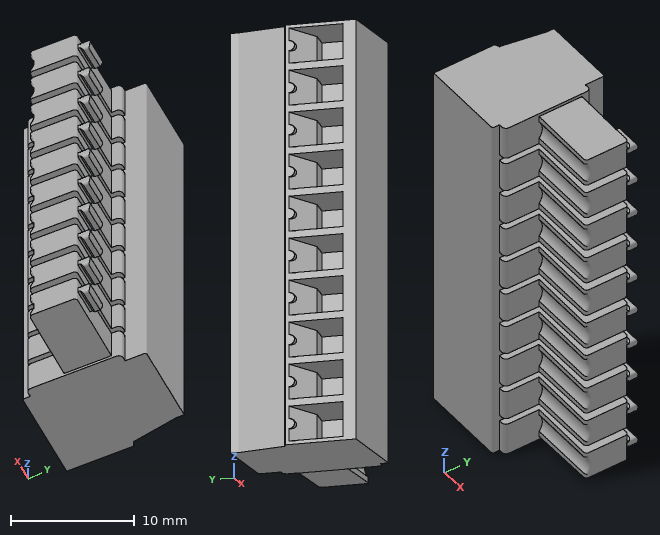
import cadquery as cq
import math

HEIGHT = 35.0
POLE_COUNT = 10
PITCH = HEIGHT / POLE_COUNT

BODY_LENGTH = 8.25
BODY_WIDTH = 11.1
BODY_EDGE_RADIUS = 0.2
LIP_X = 1.15
LIP_BOTTOM_Y = 10.4
SLOPE_END_X = 0.42
SLOPE_END_Y = 6.23
NOSE_Y = 6.02

FLANGE_END_X = 9.0
FLANGE_BOTTOM_Y = 0.7
FLANGE_TOP_Y = 9.2
FLANGE_EDGE_RADIUS = 0.42
GAP_HEIGHT = 0.6

PLUG_END_X = 15.5
PLUG_BOTTOM_Y = 4.1
PLUG_TOP_Y = 8.33
PLUG_ROOT_HEIGHT = PITCH - GAP_HEIGHT
PLUG_TIP_HEIGHT = 2.7
PLUG_TIP_RADIUS = 0.3
GROOVE_DIAMETER = 2.8
GROOVE_DEPTH = 0.3

KEY_START_X = 12.95
KEY_END_X = 15.25
KEY_SHOULDER_Y = 8.55
KEY_WIDEST_Y = 8.75
KEY_TOP_Y = 9.45
KEY_NECK_HEIGHT = 0.5
KEY_HEIGHT = 0.95
KEY_CROWN_DIAMETER = 1.2
KEY_TIP_RADIUS = 0.3

FUNNEL_BOTTOM_Y = 1.12
FUNNEL_TOP_Y = 5.7
FUNNEL_MOUTH_HEIGHT = 2.9
FUNNEL_RAMP_DEPTH = 1.95
FUNNEL_DEPTH = 3.22
FUNNEL_FLOOR_BOTTOM_Y = 1.35
FUNNEL_FLOOR_TOP_Y = 4.0
FUNNEL_FLOOR_HEIGHT = 1.7
STUD_DIAMETER = 0.85
STUD_Y = 5.67


def box(x_range, y_range, z_range):
    """Axis-aligned block from (low, high) pairs."""
    sizes = [high - low for low, high in (x_range, y_range, z_range)]
    corner = (x_range[0], y_range[0], z_range[0])
    return cq.Workplane("XY").box(*sizes, centered=False).translate(corner)


def prism_along_y(points, y_range):
    """Extrude an (X, Z) outline between two Y positions."""
    outline = cq.Workplane("XZ", origin=(0, y_range[0], 0)).polyline(points).close()
    return outline.extrude(y_range[0] - y_range[1])


def make_body():
    outline = [
        (0, 0),
        (BODY_LENGTH, 0),
        (BODY_LENGTH, BODY_WIDTH),
        (LIP_X, BODY_WIDTH),
        (LIP_X, LIP_BOTTOM_Y),
        (SLOPE_END_X, SLOPE_END_Y),
        (0, NOSE_Y),
    ]
    body = cq.Workplane("XY").polyline(outline).close().extrude(HEIGHT)
    return body.edges("|Z and >X").fillet(BODY_EDGE_RADIUS)


def make_flange():
    flange = box((BODY_LENGTH, FLANGE_END_X), (FLANGE_BOTTOM_Y, FLANGE_TOP_Y), (0, HEIGHT))
    flange = flange.edges("|Z and >X").fillet(FLANGE_EDGE_RADIUS)
    for boundary in range(1, POLE_COUNT):
        z = boundary * PITCH
        z_range = (z - GAP_HEIGHT / 2, z + GAP_HEIGHT / 2)
        flange = flange.cut(box((BODY_LENGTH, FLANGE_END_X), (FLANGE_BOTTOM_Y, FLANGE_TOP_Y), z_range))
    return flange


def make_key():
    """Necked rail with a domed +Y side and a rounded tip, symmetric about Z = 0."""
    neck = KEY_NECK_HEIGHT / 2
    head = KEY_HEIGHT / 2
    crown_radius = KEY_CROWN_DIAMETER / 2
    crown_start_y = KEY_TOP_Y - crown_radius + math.sqrt(crown_radius**2 - head**2)
    key = (
        cq.Workplane("YZ", origin=(KEY_START_X, 0, 0))
        .moveTo(PLUG_TOP_Y, neck)
        .lineTo(KEY_SHOULDER_Y, neck)
        .lineTo(KEY_WIDEST_Y, head)
        .lineTo(crown_start_y, head)
        .threePointArc((KEY_TOP_Y, 0), (crown_start_y, -head))
        .lineTo(KEY_WIDEST_Y, -head)
        .lineTo(KEY_SHOULDER_Y, -neck)
        .lineTo(PLUG_TOP_Y, -neck)
        .close()
        .extrude(KEY_END_X - KEY_START_X)
    )
    envelope = box((KEY_START_X, KEY_END_X), (PLUG_TOP_Y, KEY_TOP_Y), (-head, head))
    return key.intersect(envelope.edges("|Y and >X").fillet(KEY_TIP_RADIUS))


def make_plug():
    """Tapered plug with a rounded tip, a concave groove below and a key above."""
    outline = [
        (FLANGE_END_X, PLUG_ROOT_HEIGHT / 2),
        (PLUG_END_X, PLUG_TIP_HEIGHT / 2),
        (PLUG_END_X, -PLUG_TIP_HEIGHT / 2),
        (FLANGE_END_X, -PLUG_ROOT_HEIGHT / 2),
    ]
    plug = prism_along_y(outline, (PLUG_BOTTOM_Y, PLUG_TOP_Y))
    groove_y = PLUG_BOTTOM_Y + GROOVE_DEPTH - GROOVE_DIAMETER / 2
    groove = cq.Workplane("YZ", origin=(FLANGE_END_X, groove_y, 0)).circle(GROOVE_DIAMETER / 2)
    plug = plug.cut(groove.extrude(PLUG_END_X - FLANGE_END_X))
    tip_edges = plug.faces(">X").edges("not(>Z or <Z)")
    plug = tip_edges.fillet(PLUG_TIP_RADIUS)
    return plug.union(make_key())


def make_funnel():
    """Cutter for one wire entry: ramped towards +Y and tapered in height."""
    side_outline = [
        (0, FUNNEL_BOTTOM_Y),
        (0, FUNNEL_TOP_Y),
        (FUNNEL_RAMP_DEPTH, FUNNEL_FLOOR_TOP_Y),
        (FUNNEL_DEPTH, FUNNEL_FLOOR_TOP_Y),
        (FUNNEL_DEPTH, FUNNEL_FLOOR_BOTTOM_Y),
    ]
    funnel = cq.Workplane("XY").polyline(side_outline).close()
    funnel = funnel.extrude(FUNNEL_MOUTH_HEIGHT / 2, both=True)
    taper = [
        (0, FUNNEL_MOUTH_HEIGHT / 2),
        (FUNNEL_DEPTH, FUNNEL_FLOOR_HEIGHT / 2),
        (FUNNEL_DEPTH, -FUNNEL_FLOOR_HEIGHT / 2),
        (0, -FUNNEL_MOUTH_HEIGHT / 2),
    ]
    funnel = funnel.intersect(prism_along_y(taper, (FUNNEL_BOTTOM_Y, FUNNEL_TOP_Y)))
    stud = cq.Workplane("YZ", origin=(0, STUD_Y, 0)).circle(STUD_DIAMETER / 2)
    return funnel.cut(stud.extrude(FUNNEL_RAMP_DEPTH))


result = make_body().union(make_flange())
plug = make_plug()
funnel = make_funnel()
for pole in range(POLE_COUNT):
    pole_center = (0, 0, (pole + 0.5) * PITCH)
    result = result.union(plug.translate(pole_center))
    result = result.cut(funnel.translate(pole_center))